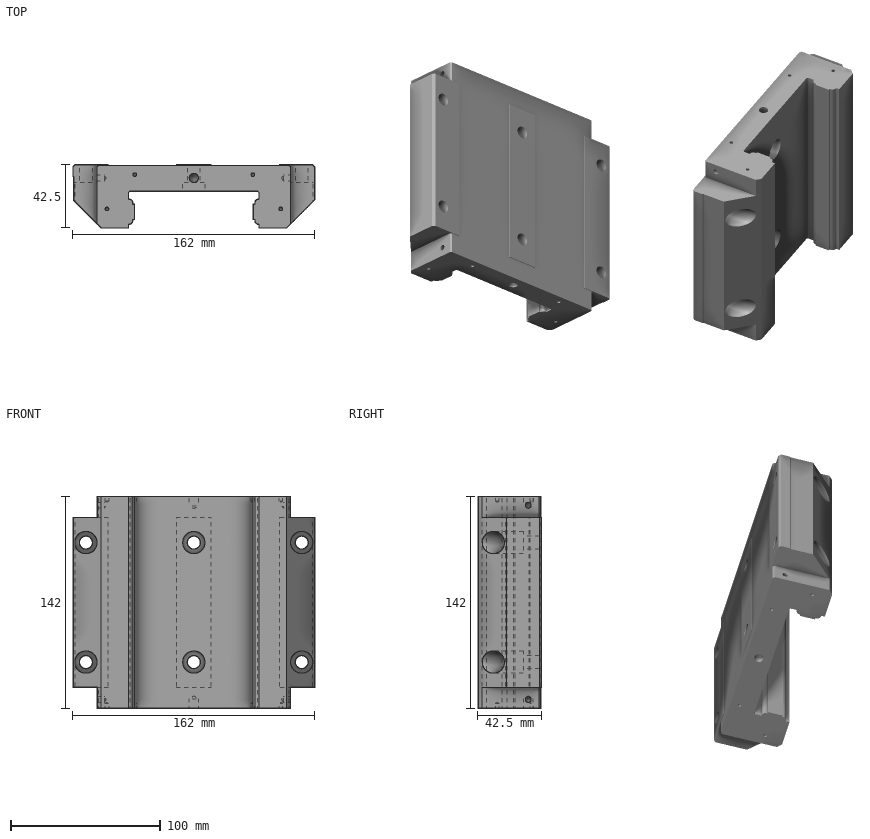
import cadquery as cq
import math


width = 162.0
height = 42.5
length = 142.0

block_length = 113.9
block_edge_chamfer = 1.5
slope_run = 19.0
reference_band = 7.8
relief = 0.5

center_pad_width = 23.3
outer_pad_inner_x = 57.3

cap_width = 129.6
cap_edge_chamfer = 1.1

channel_half_width = 43.5
channel_depth = 17.8
channel_corner_chamfer = 0.8
lip_top = 23.0
lip_bottom = 40.0
lip_half_gap = 40.8
lip_radius = 2.6
ridge_half_gap = 39.7
ridge_top = 26.4
ridge_bottom = 36.8

bolt_x = 72.3
bolt_z = 40.0
bolt_diameter = 8.6
head_diameter = 14.9
head_seat_depth = 12.0

drill_point_angle = 118.0
port_diameter = 6.2
port_drill_depth = 6.5
port_depth = 8.9
side_port_diameter = 3.9
side_port_drill_depth = 4.9
side_port_inset = 6.0
screw_diameter = 2.5
screw_drill_depth = 3.2
upper_screw_x = 39.5
upper_screw_depth = 6.6
lower_screw_x = 58.2
lower_screw_depth = 29.6


def extrude_along_z(outline, span):
    """Extrude an XY outline over a span centred on Z = 0."""
    return outline.extrude(span / 2, both=True)


def box(x_min, x_max, y_min, y_max, span):
    """Box with the given X and Y limits, centred on Z = 0."""
    outline = cq.Workplane("XY").moveTo((x_min + x_max) / 2, (y_min + y_max) / 2)
    return extrude_along_z(outline.rect(x_max - x_min, y_max - y_min), span)


def sloped_body(half_width, top_depth, top_chamfer, span):
    """Bar with chamfered mounting-side corners, cut off by the 45 degree rail-side slopes."""
    foot_x = width / 2 - slope_run
    slope_start = -height + half_width - foot_x
    half = [
        (half_width - top_chamfer, -top_depth),
        (half_width, -top_depth - top_chamfer),
        (half_width, slope_start),
        (foot_x, -height),
    ]
    mirrored = [(-x, y) for x, y in reversed(half)]
    return extrude_along_z(cq.Workplane("XY").polyline(half + mirrored).close(), span)


def make_block():
    block = sloped_body(width / 2, 0, block_edge_chamfer, block_length)
    for side in (-1, 1):
        left, right = sorted((side * center_pad_width / 2, side * outer_pad_inner_x))
        block = block.cut(box(left, right, -relief, 0, block_length))
    setback = (
        cq.Workplane("XY")
        .moveTo(-width / 2, -reference_band)
        .lineTo(-width / 2 + relief, -reference_band - relief)
        .lineTo(-width / 2 + relief, -height)
        .lineTo(-width / 2, -height)
        .close()
    )
    return block.cut(extrude_along_z(setback, block_length))


def make_caps():
    bar = sloped_body(cap_width / 2, relief, cap_edge_chamfer, length)
    return bar.cut(box(-width / 2, width / 2, -height, 0, block_length))


def make_channel():
    """Rail channel: a rectangle narrowed on each side by a rounded lip with a flat ridge."""
    channel = box(-channel_half_width, channel_half_width, -height, -channel_depth, length)
    channel = channel.faces(">Y").edges("|Z").chamfer(channel_corner_chamfer)
    for side in (-1, 1):
        left, right = sorted((side * channel_half_width, side * lip_half_gap))
        lip = box(left, right, -lip_bottom, -lip_top, length)
        lip = lip.faces("<X" if side > 0 else ">X").edges("|Z").fillet(lip_radius)
        left, right = sorted((side * channel_half_width, side * ridge_half_gap))
        ridge = box(left, right, -ridge_bottom, -ridge_top, length)
        channel = channel.cut(lip).cut(ridge)
    return channel


def mounting_hole(x, z):
    """Through hole with a counterbore opened from the rail side."""
    plane = cq.Workplane("XZ", origin=(x, 0, z))
    shank = plane.circle(bolt_diameter / 2).extrude(height)
    head = plane.workplane(offset=head_seat_depth).circle(head_diameter / 2).extrude(height)
    return shank.union(head)


def drilled_hole(position, direction, diameter, depth):
    """Blind hole with a conical drill point."""
    radius = diameter / 2
    point_height = radius / math.tan(math.radians(drill_point_angle / 2))
    start = cq.Vector(*position)
    axis = cq.Vector(*direction)
    shank = cq.Solid.makeCylinder(radius, depth, start, axis)
    point = cq.Solid.makeCone(radius, 0, point_height, start + axis * depth, axis)
    return shank.fuse(point)


body = make_block().union(make_caps()).cut(make_channel())

for bolt_column in (-bolt_x, 0, bolt_x):
    for bolt_row in (-bolt_z, bolt_z):
        body = body.cut(mounting_hole(bolt_column, bolt_row))

for end in (-1, 1):
    end_z = end * length / 2
    inward = (0, 0, -end)
    body = body.cut(drilled_hole((0, -port_depth, end_z), inward, port_diameter, port_drill_depth))
    for side in (-1, 1):
        for screw_x, screw_depth in (
            (upper_screw_x, upper_screw_depth),
            (lower_screw_x, lower_screw_depth),
        ):
            screw_position = (side * screw_x, -screw_depth, end_z)
            body = body.cut(drilled_hole(screw_position, inward, screw_diameter, screw_drill_depth))
        side_position = (side * cap_width / 2, -port_depth, end_z - end * side_port_inset)
        body = body.cut(
            drilled_hole(side_position, (-side, 0, 0), side_port_diameter, side_port_drill_depth)
        )

result = body